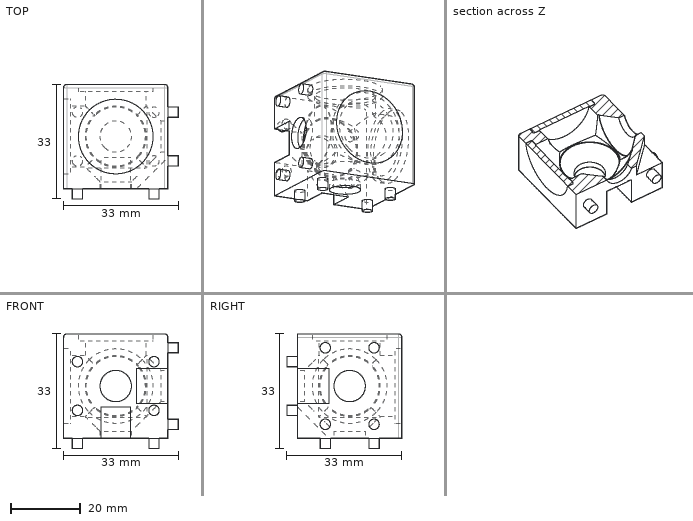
import cadquery as cq

overall = 33.0
pin_diameter = 3.0
pin_length = overall / 11
cube = overall - pin_length
half = cube / 2
edge_radius = 1.0

pin_long_offset = 11.0
pin_short_offset = 7.0

mouth_diameter = 9.0
mouth_depth = 2.0
cone_length = 4.0
channel_diameter = 17.5
cap_diameter = 21.45
cap_thickness = 2.0

notch_depth = 9.0
side_notch_width = 10.0
bottom_notch_width = 8.5

front_face = cq.Plane(origin=(0, -half, 0), xDir=(1, 0, 0), normal=(0, -1, 0))
side_face = cq.Plane(origin=(half, 0, 0), xDir=(0, 0, 1), normal=(1, 0, 0))
bottom_face = cq.Plane(origin=(0, 0, -half), xDir=(1, 0, 0), normal=(0, 0, -1))
pinned_faces = [front_face, side_face, bottom_face]


def rounded_cube():
    """Cube with rounded edges around the top, except at the front, and up the two rear corners."""
    block = cq.Workplane("XY").box(cube, cube, cube)
    rounded_edges = block.faces(">Z").edges("<X or >X or >Y").add(block.edges("|Z and >Y"))
    return rounded_edges.fillet(edge_radius)


def pins(face):
    """Four pins standing on a face."""
    places = [
        (x, y)
        for x in (-pin_long_offset, pin_long_offset)
        for y in (-pin_short_offset, pin_short_offset)
    ]
    return cq.Workplane(face).pushPoints(places).circle(pin_diameter / 2).extrude(pin_length)


def bore(face):
    """Stepped bore that opens from its mouth in a pinned face into a wide channel."""
    mouth = cq.Workplane(face).circle(mouth_diameter / 2).extrude(-mouth_depth)
    cone = (
        cq.Workplane(face)
        .workplane(offset=-mouth_depth)
        .circle(mouth_diameter / 2)
        .workplane(offset=-cone_length)
        .circle(mouth_diameter / 2 + cone_length)
        .loft(ruled=True)
    )
    channel_start = mouth_depth + cone_length
    channel = (
        cq.Workplane(face)
        .workplane(offset=-channel_start)
        .circle(channel_diameter / 2)
        .extrude(channel_start - cube)
    )
    return mouth.union(cone).union(channel)


def cap(face):
    """Round cap lying flush in the face opposite a pinned face."""
    return (
        cq.Workplane(face)
        .workplane(offset=-cube)
        .circle(cap_diameter / 2)
        .extrude(cap_thickness)
    )


def side_notch():
    """Wedge at the edge between the front face and the +X face."""
    corners = [(half, -half), (half - notch_depth, -half), (half, -half + notch_depth)]
    return cq.Workplane("XY").polyline(corners).close().extrude(side_notch_width / 2, both=True)


def bottom_notch():
    """Wedge at the edge between the front face and the bottom face."""
    corners = [(-half, -half), (-half, -half + notch_depth), (-half + notch_depth, -half)]
    return cq.Workplane("YZ").polyline(corners).close().extrude(bottom_notch_width / 2, both=True)


def make_housing(caps):
    """Notched, bored cube with its pins and a seat for each cap."""
    body = rounded_cube().cut(side_notch()).cut(bottom_notch())
    for face in pinned_faces:
        body = body.cut(bore(face)).union(pins(face))
    for seated_cap in caps:
        body = body.cut(seated_cap)
    return body


caps = [cap(face) for face in pinned_faces]
housing = make_housing(caps)

result = cq.Compound.makeCompound([housing.val(), *[seated_cap.val() for seated_cap in caps]])